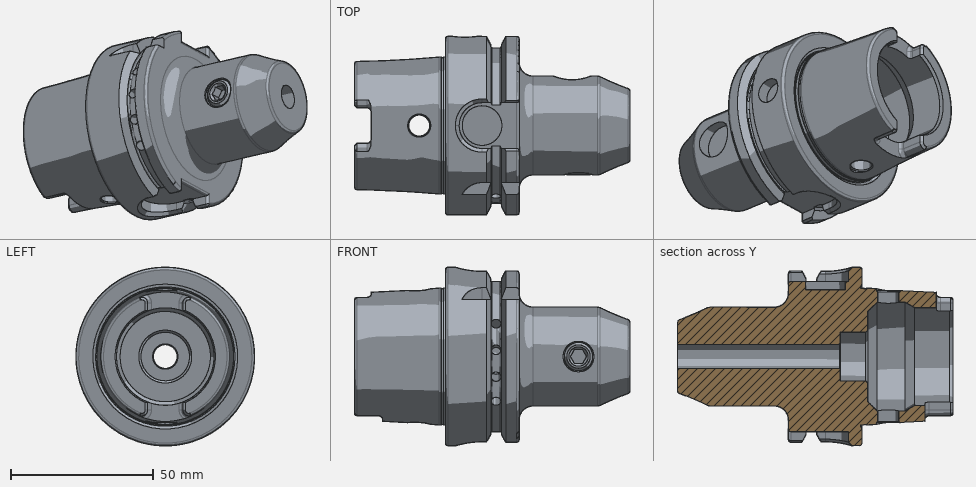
import cadquery as cq
import math

LENGTH = 97.0

SHANK_END_RADIUS = 22.6
SHANK_MID_RADIUS = 23.1
SHANK_BASE_RADIUS = 24.2
SHANK_BASE_X = 29.8
SHANK_END_ROUND = 0.9
RELIEF_START_X = 30.5
RELIEF_END_X = 31.3
RELIEF_DEPTH = 0.2
FACE_RELIEF_RADIUS = 25.5
FACE_RELIEF_FLOOR_RADIUS = 24.5
FACE_RELIEF_DEPTH = 0.5

FLANGE_X = 32.0
FLANGE_END_X = 58.0
FLANGE_RADIUS = 31.48
FLANGE_ROUND = 1.0
GROOVE_FLOOR_RADIUS = 27.45
GROOVE_LEFT_X = 48.0
GROOVE_RIGHT_X = 51.7
GROOVE_WALL_RADIUS = 28.5
GROOVE_FLARE = 1.6
GROOVE_CORNER_ROUND = 0.5

NOSE_RADIUS = 17.5
NOSE_FILLET = 4.85
CONE_START_X = 86.0
CONE_MID_X = 90.8
CONE_MID_RADIUS = 15.2
NOSE_END_RADIUS = 12.8
NOSE_EDGE_ROUND = 1.9
NOSE_END_ROUND = 1.0

BORE_RADIUS = 17.2
BORE_MOUTH_CHAMFER = 0.5
BORE_MOUTH_LENGTH = 1.2
BORE_STRAIGHT_DEPTH = 13.5
UNDERCUT_RADIUS = 19.1
UNDERCUT_START_X = 16.9
UNDERCUT_END_X = 26.7
BORE_FLOOR_RADIUS = 15.9
BORE_DEPTH = 30.0
TUBE_BORE_RADIUS = 8.5
TUBE_BORE_CHAMFER = 0.8
TUBE_BORE_DEPTH = 9.7
COOLANT_RADIUS = 4.2
COOLANT_CHAMFER = 0.3

DRIVE_HALF_WIDTH = 6.2
DRIVE_DEPTH_TOP = 5.8
DRIVE_DEPTH_BOTTOM = 9.8
DRIVE_CORNER_ROUND = 1.4
DRIVE_RIM_ROUND = 2.0
DRIVE_MOUTH_CHAMFER = 0.9

CROSS_HOLE_X = 22.8
CROSS_HOLE_RADIUS = 3.7
CROSS_HOLE_CHAMFER = 0.4
CROSS_HOLE_RIM_Z = 23.2

KEYWAY_CENTER_X = 44.9
KEYWAY_RADIUS = 8.05
KEYWAY_FLOOR_Z = 26.5
KEYWAY_CHAMFER = 1.4
COLLAR_KEYWAY_CHAMFER = 0.9
KEYWAY_POCKET_RADIUS = 7.0
KEYWAY_POCKET_DEPTH = 2.9

NOTCH_OFFSET = 20.1

CHIP_HOLE_X = 38.9
CHIP_HOLE_RADIUS = 4.5
CHIP_HOLE_DEPTH = 4.5
BALANCE_BORE_X = 76.6
BALANCE_BORE_RADIUS = 6.6
BALANCE_BORE_DEPTH = 4.85
BALANCE_HOLE_RADIUS = 1.7
BALANCE_HOLE_DEPTH = 9.7
BALANCE_FIRST_ANGLE = 25.0
BALANCE_STEP_ANGLE = -20.0
BALANCE_HOLE_COUNT = 4
DRILL_TIP_ANGLE = 118.0

SCREW_X = 78.9
SCREW_RADIUS = 5.0
SCREW_HOLE_RIM_RADIUS = 5.4
SCREW_TOP = 17.4
SCREW_LENGTH = 10.7
SCREW_RIM_Y = 16.7
SCREW_CHAMFER = 0.9
HEX_ACROSS_FLATS = 4.9
HEX_DEPTH = 4.85
HEX_RIM_RADIUS = 3.4


def revolve_x(profile):
    """Revolve a closed XY profile a full turn about the X axis."""
    return profile.close().revolve(360, (0, 0, 0), (1, 0, 0))


def cylinder(radius, length, start, direction):
    return cq.Workplane(cq.Solid.makeCylinder(radius, length, cq.Vector(*start), cq.Vector(*direction)))


def cone(start_radius, end_radius, length, start, direction):
    return cq.Workplane(
        cq.Solid.makeCone(start_radius, end_radius, length, cq.Vector(*start), cq.Vector(*direction))
    )


def box(x_range, y_range, z_range):
    size = [high - low for low, high in (x_range, y_range, z_range)]
    return cq.Workplane(cq.Solid.makeBox(*size, cq.Vector(x_range[0], y_range[0], z_range[0])))


def shank():
    profile = (
        cq.Workplane("XY")
        .lineTo(0, SHANK_END_RADIUS)
        .threePointArc((SHANK_BASE_X / 2, SHANK_MID_RADIUS), (SHANK_BASE_X, SHANK_BASE_RADIUS))
        .lineTo(RELIEF_START_X, SHANK_BASE_RADIUS)
        .lineTo(RELIEF_START_X + RELIEF_DEPTH, SHANK_BASE_RADIUS - RELIEF_DEPTH)
        .lineTo(RELIEF_END_X, SHANK_BASE_RADIUS - RELIEF_DEPTH)
        .lineTo(RELIEF_END_X, SHANK_BASE_RADIUS)
        .lineTo(FLANGE_X + FACE_RELIEF_DEPTH, SHANK_BASE_RADIUS)
        .lineTo(FLANGE_X + FACE_RELIEF_DEPTH, 0)
    )
    return revolve_x(profile).faces("<X").edges().fillet(SHANK_END_ROUND)


def flange_ring(start_x, end_x, rim_chamfer):
    """Length of flange with both keyways cut and their rims chamfered."""
    ring = cylinder(FLANGE_RADIUS, end_x - start_x, (start_x, 0, 0), (1, 0, 0))
    top_keyway = keyway()
    ring = ring.cut(top_keyway).cut(top_keyway.mirror("XY"))
    for side in (1, -1):
        rim_box = cq.selectors.BoxSelector(
            (start_x + FLANGE_ROUND, -KEYWAY_RADIUS - 1, side * (KEYWAY_FLOOR_Z + 1)),
            (end_x - FLANGE_ROUND, KEYWAY_RADIUS + 1, side * (FLANGE_RADIUS + 1)),
        )
        ring = ring.edges(rim_box).chamfer(rim_chamfer)
    return ring


def flange():
    split_x = (GROOVE_LEFT_X + GROOVE_RIGHT_X) / 2
    front = flange_ring(FLANGE_X, split_x, KEYWAY_CHAMFER)
    front = front.faces("<X").edges().fillet(FLANGE_ROUND)
    collar = flange_ring(split_x, FLANGE_END_X, COLLAR_KEYWAY_CHAMFER)
    collar = collar.faces(">X").edges().fillet(FLANGE_ROUND)
    face_relief = cone(
        FACE_RELIEF_RADIUS, FACE_RELIEF_FLOOR_RADIUS, FACE_RELIEF_DEPTH, (FLANGE_X, 0, 0), (1, 0, 0)
    )
    return front.union(collar).cut(face_relief).cut(gripper_groove())


def gripper_groove():
    ring = (
        cq.Workplane("XY")
        .moveTo(GROOVE_LEFT_X, GROOVE_FLOOR_RADIUS)
        .lineTo(GROOVE_RIGHT_X, GROOVE_FLOOR_RADIUS)
        .lineTo(GROOVE_RIGHT_X, GROOVE_WALL_RADIUS)
        .lineTo(GROOVE_RIGHT_X + GROOVE_FLARE, FLANGE_RADIUS)
        .lineTo(GROOVE_LEFT_X - GROOVE_FLARE, FLANGE_RADIUS)
        .lineTo(GROOVE_LEFT_X, GROOVE_WALL_RADIUS)
    )
    floor_corners = cq.selectors.RadiusNthSelector(0)
    return revolve_x(ring).edges("%CIRCLE").edges(floor_corners).fillet(GROOVE_CORNER_ROUND)


def nose():
    root_x = FLANGE_END_X
    profile = (
        cq.Workplane("XY")
        .moveTo(root_x, 0)
        .lineTo(root_x, NOSE_RADIUS + NOSE_FILLET)
        .radiusArc((root_x + NOSE_FILLET, NOSE_RADIUS), -NOSE_FILLET)
        .lineTo(CONE_START_X, NOSE_RADIUS)
        .threePointArc((CONE_MID_X, CONE_MID_RADIUS), (LENGTH, NOSE_END_RADIUS))
        .lineTo(LENGTH, 0)
    )
    turned = revolve_x(profile)
    turned = turned.faces(">X").edges().fillet(NOSE_END_ROUND)
    cone_edge = cq.selectors.BoxSelector(
        (CONE_START_X - 0.1, -LENGTH, -LENGTH), (CONE_START_X + 0.1, LENGTH, LENGTH), boundingbox=True
    )
    return turned.edges(cone_edge).fillet(NOSE_EDGE_ROUND)


def bore():
    tube_floor_x = BORE_DEPTH + TUBE_BORE_DEPTH
    profile = (
        cq.Workplane("XY")
        .lineTo(0, BORE_RADIUS + BORE_MOUTH_CHAMFER)
        .lineTo(BORE_MOUTH_LENGTH, BORE_RADIUS)
        .lineTo(BORE_STRAIGHT_DEPTH, BORE_RADIUS)
        .lineTo(UNDERCUT_START_X, UNDERCUT_RADIUS)
        .lineTo(UNDERCUT_END_X, UNDERCUT_RADIUS)
        .lineTo(BORE_DEPTH, BORE_FLOOR_RADIUS)
        .lineTo(BORE_DEPTH, TUBE_BORE_RADIUS + TUBE_BORE_CHAMFER)
        .lineTo(BORE_DEPTH + TUBE_BORE_CHAMFER, TUBE_BORE_RADIUS)
        .lineTo(tube_floor_x, TUBE_BORE_RADIUS)
        .lineTo(tube_floor_x, COOLANT_RADIUS + COOLANT_CHAMFER)
        .lineTo(tube_floor_x + COOLANT_CHAMFER, COOLANT_RADIUS)
        .lineTo(LENGTH, COOLANT_RADIUS)
        .lineTo(LENGTH, 0)
    )
    return revolve_x(profile)


def drive_section(plane, inset):
    """Slot cross-section whose walls curve out onto the shank, widened by an inset of the walls."""
    half_width = DRIVE_HALF_WIDTH + inset
    rim_round = DRIVE_RIM_ROUND - inset
    center_radius = SHANK_END_RADIUS - DRIVE_RIM_ROUND
    center_y = DRIVE_HALF_WIDTH + DRIVE_RIM_ROUND
    center_z = math.sqrt(center_radius**2 - center_y**2)
    rim_scale = 1 + rim_round / center_radius
    rim_y = center_y * rim_scale
    rim_z = center_z * rim_scale
    return (
        plane.moveTo(-half_width, 0)
        .lineTo(-half_width, center_z)
        .radiusArc((-rim_y, rim_z), -rim_round)
        .lineTo(-rim_y, SHANK_BASE_RADIUS)
        .lineTo(rim_y, SHANK_BASE_RADIUS)
        .lineTo(rim_y, rim_z)
        .radiusArc((half_width, center_z), -rim_round)
        .lineTo(half_width, 0)
        .close()
    )


def drive_slot(depth):
    """Slot across the +Z wall of the shank end, with filleted floor corners and a chamfered mouth."""
    slot = drive_section(cq.Workplane("YZ"), 0).extrude(depth)
    slot = slot.faces(">X").edges("not |Y").fillet(DRIVE_CORNER_ROUND)
    wide_end = drive_section(cq.Workplane("YZ"), DRIVE_MOUTH_CHAMFER)
    mouth = drive_section(wide_end.workplane(offset=DRIVE_MOUTH_CHAMFER), 0).loft(ruled=True)
    return slot.union(mouth)


def cross_holes():
    """One drill through both walls of the shank, chamfered where it breaks out."""
    hole = cylinder(CROSS_HOLE_RADIUS, 2 * LENGTH, (CROSS_HOLE_X, 0, -LENGTH), (0, 0, 1))
    rim_radius = CROSS_HOLE_RADIUS + CROSS_HOLE_CHAMFER
    for side in (1, -1):
        rim = cone(
            CROSS_HOLE_RADIUS, rim_radius, CROSS_HOLE_CHAMFER,
            (CROSS_HOLE_X, 0, side * (CROSS_HOLE_RIM_Z - CROSS_HOLE_CHAMFER)), (0, 0, side),
        )
        outside = cylinder(rim_radius, FLANGE_RADIUS, (CROSS_HOLE_X, 0, side * CROSS_HOLE_RIM_Z), (0, 0, side))
        hole = hole.union(rim).union(outside)
    return hole


def keyway():
    """Round-ended keyway in the +Z side of the flange, open toward the nose."""
    round_end = cylinder(KEYWAY_RADIUS, FLANGE_RADIUS, (KEYWAY_CENTER_X, 0, KEYWAY_FLOOR_Z), (0, 0, 1))
    straight = box(
        (KEYWAY_CENTER_X, FLANGE_END_X),
        (-KEYWAY_RADIUS, KEYWAY_RADIUS),
        (KEYWAY_FLOOR_Z, KEYWAY_FLOOR_Z + FLANGE_RADIUS),
    )
    return round_end.union(straight)


def keyway_pocket():
    floor_z = KEYWAY_FLOOR_Z - KEYWAY_POCKET_DEPTH
    return cylinder(KEYWAY_POCKET_RADIUS, FLANGE_RADIUS - floor_z, (KEYWAY_CENTER_X, 0, floor_z), (0, 0, 1))


def orientation_notch():
    """Square corner notch on the -Y, +Z side, with the keyway's end radius."""
    round_end = cylinder(
        KEYWAY_RADIUS, FLANGE_RADIUS, (KEYWAY_CENTER_X, -NOTCH_OFFSET - KEYWAY_RADIUS, NOTCH_OFFSET), (0, 0, 1)
    )
    straight = box(
        (KEYWAY_CENTER_X, FLANGE_END_X), (-FLANGE_RADIUS, -NOTCH_OFFSET), (NOTCH_OFFSET, FLANGE_RADIUS)
    )
    return round_end.union(straight)


def chip_hole():
    floor_y = FLANGE_RADIUS - CHIP_HOLE_DEPTH
    return cylinder(CHIP_HOLE_RADIUS, FLANGE_RADIUS, (CHIP_HOLE_X, floor_y, 0), (0, 1, 0))


def balance_bore():
    floor_y = NOSE_RADIUS - BALANCE_BORE_DEPTH
    return cylinder(BALANCE_BORE_RADIUS, NOSE_RADIUS, (BALANCE_BORE_X, floor_y, 0), (0, 1, 0))


def balance_hole(angle):
    """Radial drilled hole in the groove floor, at an angle from -Y toward +Z."""
    across = -math.cos(math.radians(angle))
    up = math.sin(math.radians(angle))
    center_x = (GROOVE_LEFT_X + GROOVE_RIGHT_X) / 2
    tip_length = BALANCE_HOLE_RADIUS / math.tan(math.radians(DRILL_TIP_ANGLE / 2))
    floor_radius = GROOVE_FLOOR_RADIUS - BALANCE_HOLE_DEPTH
    start = (center_x, across * floor_radius, up * floor_radius)
    drill = cylinder(BALANCE_HOLE_RADIUS, BALANCE_HOLE_DEPTH + 1, start, (0, across, up))
    tip = cone(BALANCE_HOLE_RADIUS, 0, tip_length, start, (0, -across, -up))
    return drill.union(tip)


def screw_hole():
    """Recess for the set screw, countersunk where it breaks out of the nose."""
    hole = cylinder(SCREW_RADIUS, NOSE_RADIUS, (SCREW_X, SCREW_LENGTH - SCREW_TOP, 0), (0, -1, 0))
    rim_depth = SCREW_HOLE_RIM_RADIUS - SCREW_RADIUS
    countersink = cone(
        SCREW_RADIUS, SCREW_HOLE_RIM_RADIUS, rim_depth, (SCREW_X, rim_depth - SCREW_RIM_Y, 0), (0, -1, 0)
    )
    outside = cylinder(SCREW_HOLE_RIM_RADIUS, NOSE_RADIUS, (SCREW_X, -SCREW_RIM_Y, 0), (0, -1, 0))
    return hole.union(countersink).union(outside)


def make_holder():
    holder = shank().union(flange()).union(nose()).cut(bore())
    holder = holder.cut(drive_slot(DRIVE_DEPTH_TOP))
    holder = holder.cut(drive_slot(DRIVE_DEPTH_BOTTOM).mirror("XY"))
    holder = holder.cut(cross_holes())
    holder = holder.cut(keyway_pocket())
    holder = holder.cut(orientation_notch())
    holder = holder.cut(chip_hole())
    holder = holder.cut(balance_bore())
    for index in range(BALANCE_HOLE_COUNT):
        holder = holder.cut(balance_hole(BALANCE_FIRST_ANGLE + index * BALANCE_STEP_ANGLE))
    return holder.cut(screw_hole())


def make_set_screw():
    """Hexagon socket set screw along Y, its socket facing -Y."""
    blank = cylinder(SCREW_RADIUS, SCREW_LENGTH, (SCREW_X, SCREW_LENGTH - SCREW_TOP, 0), (0, -1, 0))
    blank = blank.faces("<Y").edges().chamfer(SCREW_CHAMFER)
    hex_corner_radius = HEX_ACROSS_FLATS / math.sqrt(3)
    hex_socket = (
        cq.Workplane("XZ", origin=(SCREW_X, HEX_DEPTH - SCREW_TOP, 0))
        .polygon(6, 2 * hex_corner_radius)
        .extrude(HEX_DEPTH)
    )
    socket_rim = cone(HEX_RIM_RADIUS, 0, HEX_RIM_RADIUS, (SCREW_X, -SCREW_TOP, 0), (0, 1, 0))
    return blank.cut(hex_socket).cut(socket_rim)


holder = make_holder()
set_screw = make_set_screw()

result = cq.Compound.makeCompound([holder.val(), set_screw.val()])